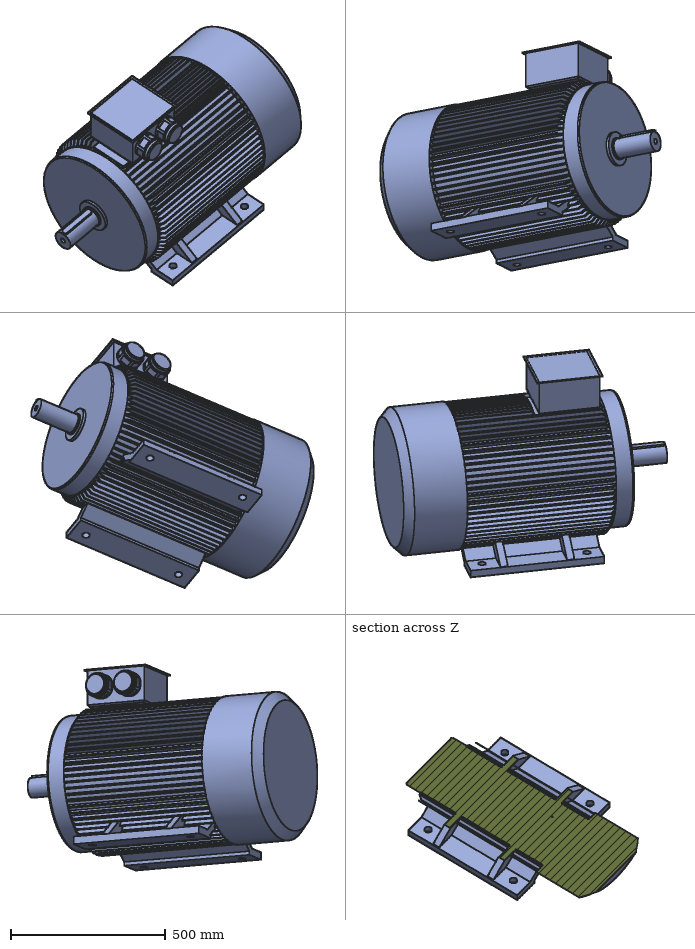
import cadquery as cq
import math


shaft_diameter = 65.0
shaft_length = 139.0
collar_diameter = 72.0
collar_length = 5.5
bearing_cap_diameter = 110.0
bearing_cap_length = 9.0
key_width = 20.0
key_length = 134.0
key_tip_gap = 1.0
key_top = 38.0
center_hole_diameter = 17.5
center_hole_depth = 28.0
drill_tip_angle = 120.0

shield_diameter = 445.0
shield_face_diameter = 440.0
shield_bevel_length = 5.5
shield_length = 61.0
cowl_diameter = 485.0
cowl_bevel = 29.0
cowl_front = 714.0
motor_length = 920.0

fin_diameter = 480.0
fin_thickness = 5.0
fin_pitch_angle = 5.0
first_fin_angle = 20.0
fin_overlap = 9.0
core_diameter = 442.0
fin_bevel = 17.0
top_fin_count = 9
top_fin_pitch = 15.0
top_fin_front = 449.0
top_fin_bevel = 9.0

pad_width = 130.0
pad_top = 221.0
pad_front = 223.0
pedestal_front = 271.0
pedestal_length = 131.0

motor_top = 354.0
box_width = 181.0
box_length = 201.5
box_bottom = 233.0
box_bevel = 5.5
box_center_y = 339.5
lid_width = 196.0
lid_length = 218.0
lid_thickness = 3.0

gland_z = 294.0
gland_middle_y = 339.5
gland_spacing = 99.0
gland_diameter = 80.0
gland_neck_length = 7.0
nut_length = 26.0
nut_across_flats = 74.0
gland_rim_length = 4.0
gland_cap_diameter = 70.0
gland_cap_length = 17.0
gland_cap_bevel_depth = 3.0
gland_cap_bevel_length = 5.5

shaft_height = 250.0
foot_span = 490.0
foot_width = 92.0
foot_thickness = 25.0
foot_front = 259.0
foot_length = 445.0
foot_slope = 35.0
web_corner_height = 12.0
web_top_start_x = 176.0
web_reach_x = 92.0
rib_start_x = 241.0
rib_reach_x = 147.0
rib_width = 25.0
rib_fronts = (358.0, 580.0)
foot_hole_diameter = 24.0
foot_hole_x = 203.0
foot_hole_ys = (308.0, 657.0)

collar_front = shaft_length
bearing_cap_front = collar_front + collar_length
shield_front = bearing_cap_front + bearing_cap_length
shield_back = shield_front + shield_length
box_side_x = box_width / 2


def section_at(y):
    """Workplane across the shaft axis: local x is X and local y is Z."""
    return cq.Workplane("XZ", origin=(0, y, 0))


def cylinder(diameter, front, back):
    return section_at(front).circle(diameter / 2).extrude(front - back)


def box_between(width, front, back, bottom, top):
    """Block centred on x = 0."""
    size = (width, back - front, top - bottom)
    return cq.Workplane("XY", origin=(0, front, bottom)).box(*size, centered=(True, False, False))


def turned(profile):
    """Solid of revolution about the shaft axis from (radius, y) points."""
    return cq.Workplane("XY").polyline(profile).close().revolve(360, (0, 0, 0), (0, 1, 0))


def fin_envelope(front, bevel):
    """Cylinder over the fin tips, bevelled at its front end."""
    radius = fin_diameter / 2
    return turned([
        (0, front),
        (radius - bevel, front),
        (radius, front + bevel),
        (radius, cowl_front),
        (0, cowl_front),
    ])


def make_shield():
    radius = shield_diameter / 2
    return turned([
        (0, shield_front),
        (shield_face_diameter / 2, shield_front),
        (radius, shield_front + shield_bevel_length),
        (radius, shield_back),
        (0, shield_back),
    ])


def make_cowl():
    radius = cowl_diameter / 2
    return turned([
        (0, cowl_front),
        (radius, cowl_front),
        (radius, motor_length - cowl_bevel),
        (radius - cowl_bevel, motor_length),
        (0, motor_length),
    ])


def make_radial_fins():
    """Fins all around, leaving out the sector of the top pad."""
    root_radius = core_diameter / 2 - fin_overlap
    height = fin_diameter / 2 - root_radius + fin_overlap
    sector = 360 - 2 * first_fin_angle
    count = round(sector / fin_pitch_angle) + 1
    bars = (
        section_at(shield_back)
        .polarArray(root_radius + height / 2, 90 + first_fin_angle, sector, count)
        .rect(height, fin_thickness)
        .extrude(shield_back - cowl_front)
    )
    return bars.intersect(fin_envelope(shield_back, fin_bevel))


def make_top_fins():
    """Upright parallel fins on the flat pad behind the terminal box."""
    bottom = pad_top - fin_overlap
    height = fin_diameter / 2 - bottom
    bars = (
        section_at(top_fin_front)
        .center(0, bottom + height / 2)
        .rarray(top_fin_pitch, 9, top_fin_count, 1)
        .rect(fin_thickness, height)
        .extrude(top_fin_front - cowl_front)
    )
    return bars.intersect(fin_envelope(top_fin_front, top_fin_bevel))


def make_frame():
    core = cylinder(core_diameter, shield_back, cowl_front)
    pad = box_between(pad_width, pad_front, cowl_front, 0, pad_top)
    return core.union(pad).union(make_radial_fins()).union(make_top_fins())


def make_shaft():
    shaft = cylinder(shaft_diameter, 0, shield_front)
    collar = cylinder(collar_diameter, collar_front, shield_front)
    bearing_cap = cylinder(bearing_cap_diameter, bearing_cap_front, shield_front)
    key = (
        cq.Workplane("XY", origin=(0, key_tip_gap + key_length / 2, 0))
        .slot2D(key_length, key_width, 90)
        .extrude(key_top)
    )
    hole_radius = center_hole_diameter / 2
    tip_depth = hole_radius / math.tan(math.radians(drill_tip_angle / 2))
    center_hole = turned([
        (0, 0),
        (hole_radius, 0),
        (hole_radius, center_hole_depth),
        (0, center_hole_depth + tip_depth),
    ])
    return shaft.union(collar).union(bearing_cap).union(key).cut(center_hole)


def make_terminal_box():
    front = box_center_y - box_length / 2
    back = box_center_y + box_length / 2
    lid_front = box_center_y - lid_length / 2
    lid_back = box_center_y + lid_length / 2
    case = box_between(box_width, front, back, box_bottom, motor_top).faces("<Z").chamfer(box_bevel)
    lid = box_between(lid_width, lid_front, lid_back, motor_top - lid_thickness, motor_top)
    pedestal_back = pedestal_front + pedestal_length
    pedestal = box_between(pad_width, pedestal_front, pedestal_back, 0, box_bottom)
    return case.union(lid).union(pedestal)


def make_gland(y):
    """Cable gland on the +X wall: neck, rounded hexagon nut, rim and cap."""
    def section(x):
        return cq.Workplane("YZ", origin=(x, y, gland_z))

    nut_start = box_side_x + gland_neck_length
    rim_start = nut_start + nut_length
    cap_start = rim_start + gland_rim_length
    neck = section(box_side_x).circle(gland_diameter / 2).extrude(gland_neck_length)
    nut_corners = nut_across_flats / math.cos(math.pi / 6)
    hexagon = section(nut_start).transformed(rotate=(0, 0, 30)).polygon(6, nut_corners).extrude(nut_length)
    nut = section(nut_start).circle(gland_diameter / 2).extrude(nut_length).intersect(hexagon)
    rim = section(rim_start).circle(gland_diameter / 2).extrude(gland_rim_length)
    cap = section(cap_start).circle(gland_cap_diameter / 2).extrude(gland_cap_length)
    cap = cap.faces(">X").chamfer(gland_cap_bevel_length, gland_cap_bevel_depth)
    return neck.union(nut).union(rim).union(cap)


def make_foot():
    """The +X foot: plate with sloped web, two ribs and two bolt holes."""
    ground = -shaft_height
    plate_top = ground + foot_thickness
    outer_x = foot_span / 2
    inner_x = outer_x - foot_width
    web_corner_z = ground + web_corner_height
    rise = math.tan(math.radians(foot_slope))

    foot_outline = [
        (outer_x, ground),
        (outer_x, plate_top),
        (web_top_start_x, plate_top),
        (web_reach_x, plate_top + rise * (web_top_start_x - web_reach_x)),
        (web_reach_x, web_corner_z + rise * (inner_x - web_reach_x)),
        (inner_x, web_corner_z),
        (inner_x, ground),
    ]
    foot = section_at(foot_front).polyline(foot_outline).close().extrude(-foot_length)

    rib_outline = [
        (rib_start_x, plate_top),
        (rib_reach_x, plate_top + rise * (rib_start_x - rib_reach_x)),
        (web_reach_x, plate_top + rise * (web_top_start_x - web_reach_x)),
        (web_top_start_x, plate_top),
    ]
    for front in rib_fronts:
        foot = foot.union(section_at(front).polyline(rib_outline).close().extrude(-rib_width))

    bolt_holes = (
        cq.Workplane("XY", origin=(0, 0, ground))
        .pushPoints([(foot_hole_x, y) for y in foot_hole_ys])
        .circle(foot_hole_diameter / 2)
        .extrude(foot_thickness)
    )
    return foot.cut(bolt_holes)


foot = make_foot()
result = make_frame().union(make_shield()).union(make_cowl()).union(make_shaft())
result = result.union(foot).union(foot.mirror("YZ")).union(make_terminal_box())
for side in (-1, 1):
    result = result.union(make_gland(gland_middle_y + side * gland_spacing / 2))